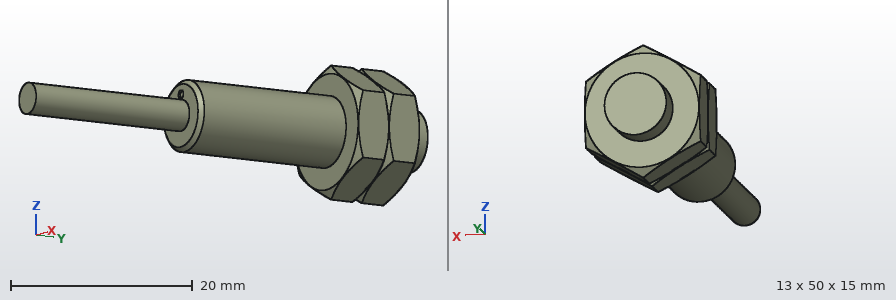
import cadquery as cq
import math

total_length = 50.0
cable_length = 20.0
cable_diameter = 3.5
barrel_diameter = 8.0
barrel_chamfer = 0.5
tip_diameter = 7.0
tip_length = 3.0
nut_thickness = 4.0
nut_count = 2
nut_width = 13.0
nut_face_diameter = 12.9
nut_chamfer_angle = 30.0
lamp_diameter = 1.0
lamp_height = 2.35

back_y = total_length / 2
front_y = -total_length / 2
barrel_front_y = front_y + cable_length
nuts_back_y = back_y - tip_length
nuts_front_y = nuts_back_y - nut_count * nut_thickness


def rod(diameter, start_y, end_y):
    """Cylinder on the Y axis."""
    plane = cq.Workplane("XZ", origin=(0, start_y, 0))
    return plane.circle(diameter / 2).extrude(start_y - end_y)


def nut(start_y):
    """Hexagonal nut, corners up and down, with both faces chamfered."""
    corner_diameter = nut_width / math.cos(math.radians(30))
    face_radius = nut_face_diameter / 2
    corner_radius = corner_diameter / 2
    drop = (corner_radius - face_radius) * math.tan(math.radians(nut_chamfer_angle))
    end_y = start_y + nut_thickness
    hexagon = (
        cq.Workplane("XZ", origin=(0, start_y, 0))
        .polygon(6, corner_diameter)
        .extrude(-nut_thickness)
        .rotate((0, 0, 0), (0, 1, 0), 30)
    )
    envelope = (
        cq.Workplane("XY")
        .moveTo(0, start_y)
        .lineTo(face_radius, start_y)
        .lineTo(corner_radius, start_y + drop)
        .lineTo(corner_radius, end_y - drop)
        .lineTo(face_radius, end_y)
        .lineTo(0, end_y)
        .close()
        .revolve(360, (0, 0, 0), (0, 1, 0))
    )
    return hexagon.intersect(envelope)


barrel = rod(barrel_diameter, barrel_front_y, nuts_back_y).faces("<Y").chamfer(barrel_chamfer)
result = barrel.union(rod(tip_diameter, nuts_back_y, back_y))
result = result.union(rod(cable_diameter, front_y, barrel_front_y))

for index in range(nut_count):
    result = result.union(nut(nuts_front_y + index * nut_thickness))

lamp_radius = lamp_diameter / 2
pocket_floor_y = barrel_front_y + lamp_radius
pocket = rod(lamp_diameter, barrel_front_y, pocket_floor_y)
dome = cq.Workplane("XY").sphere(lamp_radius).translate((0, pocket_floor_y, 0))
result = result.cut(pocket.cut(dome).translate((0, 0, lamp_height)))